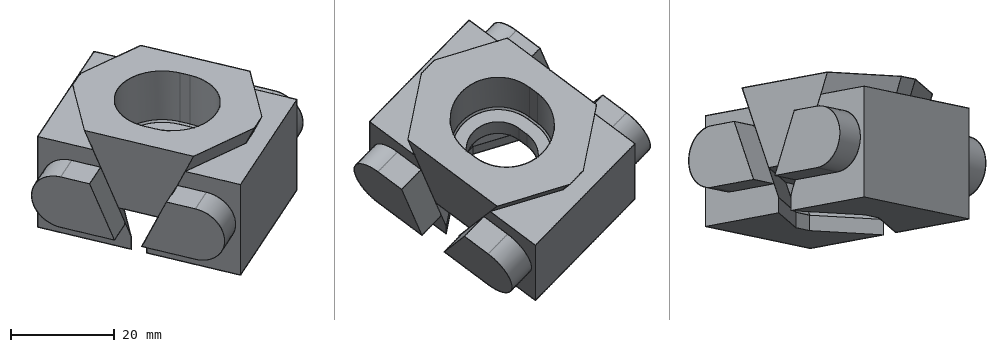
import cadquery as cq
import math

clamp_length = 42.0
clamp_width = 41.0
clamp_height = 25.87

jaw_width = 29.5
jaw_height = 21.75
slot_width = 3.2
slot_height = 3.02

peg_height = 12.1
peg_span = 40.0
peg_center_z = 11.93

wedge_angle = 23.0
wedge_bottom = 9.25
nose_reach = 7.5
nose_width = 3.9

hole_straight = 2.05
hole_diameter = 12.35
bore_diameter = 18.5
bore_floor = 13.8
floor_chamfer = 0.38


def v_half_length(z):
    """Distance in X from the middle to the V at the jaw ends, at height z."""
    return slot_width / 2 + (z - slot_height) * math.tan(math.radians(wedge_angle))


def hexagon_points(z):
    """Outline of the wedge at height z: two flat ends and a blunt nose each way."""
    end_x = v_half_length(z)
    nose_x = end_x + nose_reach
    end_y = jaw_width / 2
    nose_y = nose_width / 2
    return [
        (nose_x, -nose_y),
        (nose_x, nose_y),
        (end_x, end_y),
        (-end_x, end_y),
        (-nose_x, nose_y),
        (-nose_x, -nose_y),
        (-end_x, -end_y),
        (end_x, -end_y),
    ]


def wedge_block(bottom, top):
    """Solid wedge whose sloping faces all follow the V."""
    return (
        cq.Workplane("XY", origin=(0, 0, bottom))
        .polyline(hexagon_points(bottom)).close()
        .workplane(offset=top - bottom)
        .polyline(hexagon_points(top)).close()
        .loft(ruled=True, combine=True)
    )


def obround(diameter, bottom, top):
    """Upright obround block, long along X."""
    return (
        cq.Workplane("XY", origin=(0, 0, bottom))
        .slot2D(hole_straight + diameter, diameter)
        .extrude(top - bottom)
    )


def make_wedge():
    bore = obround(bore_diameter, bore_floor, clamp_height)
    bore = bore.faces("<Z").edges().chamfer(floor_chamfer)
    hole = obround(hole_diameter, wedge_bottom, clamp_height)
    return wedge_block(wedge_bottom, clamp_height).cut(bore).cut(hole)


def make_notch():
    """Space between the jaws: the wedge seat and the vertical passage below it."""
    passage = cq.Workplane("XY").polyline(hexagon_points(slot_height)).close().extrude(slot_height)
    return passage.union(wedge_block(slot_height, clamp_height))


def make_v_prism():
    """V-shaped gap that runs the full clamp width and trims the pegs."""
    top_x = v_half_length(clamp_height)
    slot_x = slot_width / 2
    outline = [
        (-slot_x, 0),
        (slot_x, 0),
        (slot_x, slot_height),
        (top_x, clamp_height),
        (-top_x, clamp_height),
        (-slot_x, slot_height),
    ]
    return cq.Workplane("XZ").polyline(outline).close().extrude(clamp_width / 2, both=True)


def make_jaw(side):
    """Jaw on the +X side (side = 1) or the -X side (side = -1)."""
    half_length = clamp_length / 2
    block = (
        cq.Workplane("XY")
        .center(side * half_length / 2, 0)
        .rect(half_length, jaw_width)
        .extrude(jaw_height)
    )
    peg_bar = (
        cq.Workplane("XZ", origin=(0, 0, peg_center_z))
        .slot2D(peg_span, peg_height)
        .extrude(clamp_width / 2, both=True)
    )
    half_space = (
        cq.Workplane("XY")
        .center(side * half_length / 2, 0)
        .rect(half_length, clamp_width)
        .extrude(clamp_height)
    )
    return block.union(peg_bar.intersect(half_space)).cut(make_v_prism()).cut(make_notch())


wedge = make_wedge()
jaws = [make_jaw(side) for side in (-1, 1)]

result = cq.Compound.makeCompound([wedge.val(), *[jaw.val() for jaw in jaws]])